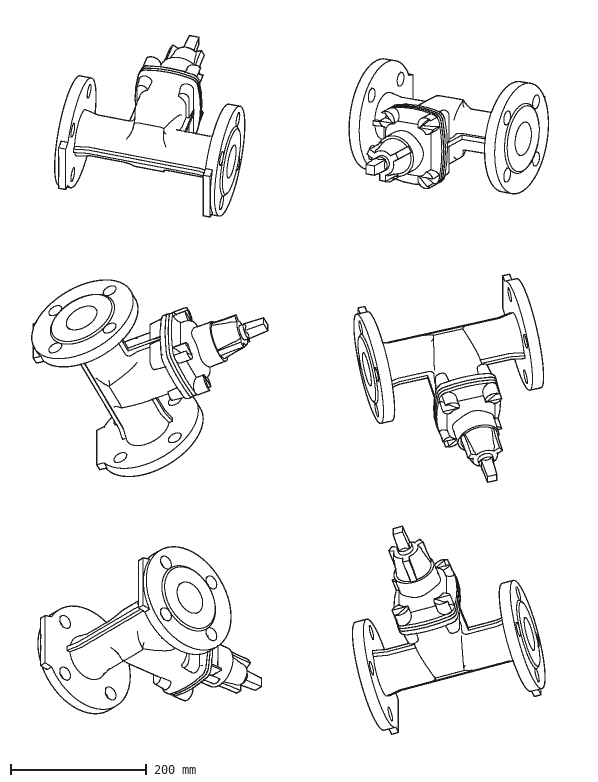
import cadquery as cq
import math


BORE_RADIUS = 25.0
PIPE_RADIUS = 30.7
PIPE_END_RADIUS = 35.0
FLARE_START_X = 85.0
FLANGE_RADIUS = 82.5
FLANGE_INNER_X = 105.0
FLANGE_OUTER_X = 122.3
FACE_X = 250.0 / 2
FACE_BASE_RADIUS = 52.0
FACE_RADIUS = 49.2
BOLT_CIRCLE_RADIUS = 62.5
BOLT_HOLE_RADIUS = 10.5

FOOT_BOTTOM_Y = -82.8
FOOT_TOP_Y = -69.5
FOOT_OUTER_X = 115.8
FOOT_BOTTOM_HALF_Z = 40.5
FOOT_TOP_HALF_Z = 43.0

RIB_THICKNESS = 6.8
RIB_HALF_WIDTH_Y = 37.0
RIB_END_HALF_WIDTH_Y = 40.8
RIB_NECK_HALF_X = 42.5

BARREL_HALF_X = 35.5
BARREL_HALF_Z = 44.0
BARREL_CORNER_RADIUS = 19.5
BARREL_TAPER_Y = 49.5
BARREL_FOOT_Y = -2.5
BARREL_FOOT_HALF_X = 22.5
BARREL_TIP_HALF_X = 25.2
BARREL_TIP_DEPTH = 0.1
BARREL_TIP_RADIUS = PIPE_RADIUS - BARREL_TIP_DEPTH
BARREL_TIP_ANGLE = math.atan2(BARREL_FOOT_Y, BARREL_HALF_Z) - math.acos(
    BARREL_TIP_RADIUS / math.hypot(BARREL_FOOT_Y, BARREL_HALF_Z)
)
BARREL_TIP_Y = BARREL_TIP_RADIUS * math.sin(BARREL_TIP_ANGLE)
BARREL_TIP_HALF_Z = BARREL_TIP_RADIUS * math.cos(BARREL_TIP_ANGLE)
BARREL_PIPE_FILLET = 6.5
BARREL_JOINT_FILLET = 3.2

JOINT_BOTTOM_Y = 90.3
JOINT_SPLIT_Y = 100.3
JOINT_LIP_Y = 105.0
JOINT_TOP_Y = 110.3
JOINT_HALF_X = 49.5
JOINT_HALF_Z = 59.0
JOINT_CORNER_X = 43.5
JOINT_CORNER_Z = 52.5
JOINT_CORNER_RADIUS = 13.0
JOINT_BOTTOM_ROUND = 5.5
JOINT_STEP = 0.3

BAR_BOTTOM_Y = 71.2
BAR_CENTRE_X = 31.7
BAR_CENTRE_Z = 41.7
BAR_TOP_RADIUS = 10.0
BAR_BOTTOM_RADIUS = 8.0

SKIRT_TOP_Y = 118.7
NECK_HALF_X = 35.5
NECK_HALF_Z = 38.2
NECK_TOP_Y = 139.0
NECK_CORNER_RADIUS = 14.5
NECK_TOP_ROUND = 14.2
BOSS_TOP_Y = 130.7
BOSS_X = 32.7
BOSS_Z = 41.7
BOSS_RADIUS = 13.0
BOSS_POCKET_INNER_X = 22.0
BOSS_POCKET_INNER_Z = 38.0
BOSS_POCKET_OUTER_Z = 51.5

TOWER_BASE_RADIUS = 31.7
TOWER_SHOULDER_RADIUS = 31.0
TOWER_SHOULDER_Y = 164.5
CONE_BASE_RADIUS = 27.0
CAP_RADIUS = 22.0
CAP_BASE_Y = 189.5
CAP_BAND_Y = 193.5
CAP_EDGE_RADIUS = 21.5
CAP_EDGE_Y = 196.0
CAP_TOP_RADIUS = 18.8
CAP_TOP_Y = 202.5
COLLAR_RADIUS = 11.3
COLLAR_EDGE_Y = 209.3
COLLAR_TOP_RADIUS = 8.5
COLLAR_TOP_Y = 212.2
SPINDLE_BASE_SIDE = 16.8
SPINDLE_TOP_SIDE = 14.5
SPINDLE_TOP_Y = 240.7

TOWER_RIB_COUNT = 3
TOWER_RIB_FIRST_ANGLE = 30
TOWER_RIB_THICKNESS = 9.7
TOWER_RIB_RADIUS = 27.8
TOWER_RIB_BASE_RADIUS = 28.8
TOWER_RIB_STEP_Y = 182.0

SELECTION_MARGIN = 0.5


def level(y):
    """Plane across the spindle at height y: local x is X, local y is Z, positive extrusion is -Y."""
    return cq.Workplane("XZ", origin=(0, y, 0))


def with_mirror_half(outline):
    """Close a half outline by adding its mirror image in the first coordinate."""
    return outline + [(-a, b) for a, b in reversed(outline)]


def four_corners(x, z):
    return [(sx * x, sz * z) for sx in (-1, 1) for sz in (-1, 1)]


def make_pipe():
    profile = with_mirror_half([
        (FACE_X, 0),
        (FACE_X, FACE_RADIUS),
        (FLANGE_OUTER_X, FACE_BASE_RADIUS),
        (FLANGE_OUTER_X, FLANGE_RADIUS),
        (FLANGE_INNER_X, FLANGE_RADIUS),
        (FLANGE_INNER_X, PIPE_END_RADIUS),
        (FLARE_START_X, PIPE_RADIUS),
    ])
    return cq.Workplane("XY").polyline(profile).close().revolve(360, (0, 0, 0), (1, 0, 0))


def make_feet():
    outline = [
        (-FOOT_TOP_HALF_Z, FOOT_TOP_Y),
        (-FOOT_BOTTOM_HALF_Z, FOOT_BOTTOM_Y),
        (FOOT_BOTTOM_HALF_Z, FOOT_BOTTOM_Y),
        (FOOT_TOP_HALF_Z, FOOT_TOP_Y),
    ]
    foot = (
        cq.Workplane("ZY", origin=(FOOT_OUTER_X, 0, 0))
        .polyline(outline).close()
        .extrude(FOOT_OUTER_X - FLANGE_INNER_X)
    )
    return foot.union(foot.mirror("YZ"))


def make_middle_rib():
    outline = with_mirror_half([
        (RIB_NECK_HALF_X, JOINT_BOTTOM_Y),
        (RIB_NECK_HALF_X, RIB_HALF_WIDTH_Y),
        (FLARE_START_X, RIB_HALF_WIDTH_Y),
        (FLANGE_INNER_X, RIB_END_HALF_WIDTH_Y),
        (FLANGE_INNER_X, -RIB_END_HALF_WIDTH_Y),
        (FLARE_START_X, -RIB_HALF_WIDTH_Y),
    ])
    return cq.Workplane("XY").polyline(outline).close().extrude(RIB_THICKNESS / 2, both=True)


def make_barrel():
    height = JOINT_BOTTOM_Y - BARREL_TIP_Y
    column = (
        level(JOINT_BOTTOM_Y)
        .rect(2 * BARREL_HALF_X, 2 * BARREL_HALF_Z)
        .extrude(height)
        .edges("|Y").fillet(BARREL_CORNER_RADIUS)
    )
    front_outline = with_mirror_half([
        (BARREL_HALF_X, JOINT_BOTTOM_Y),
        (BARREL_HALF_X, BARREL_TAPER_Y),
        (BARREL_FOOT_HALF_X, BARREL_FOOT_Y),
        (BARREL_TIP_HALF_X, BARREL_TIP_Y),
    ])
    side_outline = with_mirror_half([
        (BARREL_HALF_Z, JOINT_BOTTOM_Y),
        (BARREL_HALF_Z, BARREL_FOOT_Y),
        (BARREL_TIP_HALF_Z, BARREL_TIP_Y),
    ])
    front = cq.Workplane("XY").polyline(front_outline).close().extrude(BARREL_HALF_Z, both=True)
    side = cq.Workplane("ZY").polyline(side_outline).close().extrude(BARREL_HALF_X, both=True)
    return column.intersect(front).intersect(side)


def joint_layer(bottom_y, top_y, setback):
    """Slab of the oval joint, its four sides bowed outward and set back from the full outline."""
    x = JOINT_CORNER_X - setback
    z = JOINT_CORNER_Z - setback
    middle_x = JOINT_HALF_X - setback
    middle_z = JOINT_HALF_Z - setback
    return (
        level(top_y)
        .moveTo(-x, z)
        .threePointArc((0, middle_z), (x, z))
        .threePointArc((middle_x, 0), (x, -z))
        .threePointArc((0, -middle_z), (-x, -z))
        .threePointArc((-middle_x, 0), (-x, z))
        .close()
        .extrude(top_y - bottom_y)
        .edges("|Y").fillet(JOINT_CORNER_RADIUS)
    )


def make_body_flange():
    flange = joint_layer(JOINT_BOTTOM_Y, JOINT_SPLIT_Y, 0)
    return flange.faces("<Y").edges().fillet(JOINT_BOTTOM_ROUND)


def box_around(corner, opposite_corner):
    """Selector for edges whose centre lies in the box, which is widened a little on every side."""
    low = [min(pair) - SELECTION_MARGIN for pair in zip(corner, opposite_corner)]
    high = [max(pair) + SELECTION_MARGIN for pair in zip(corner, opposite_corner)]
    return cq.selectors.BoxSelector(low, high)


def make_body():
    body = make_barrel().union(make_body_flange())
    barrel_top = box_around(
        (-BARREL_HALF_X, JOINT_BOTTOM_Y, -BARREL_HALF_Z),
        (BARREL_HALF_X, JOINT_BOTTOM_Y, BARREL_HALF_Z),
    )
    body = body.edges(barrel_top).fillet(BARREL_JOINT_FILLET)
    body = body.union(make_pipe())
    for side in (-1, 1):
        root = box_around(
            (side * BARREL_FOOT_HALF_X, BARREL_TIP_Y, -PIPE_RADIUS),
            (side * BARREL_HALF_X, PIPE_RADIUS, PIPE_RADIUS),
        )
        body = body.edges(root).fillet(BARREL_PIPE_FILLET)
    return body


def make_bonnet_flange():
    lip = joint_layer(JOINT_SPLIT_Y, JOINT_LIP_Y, JOINT_STEP)
    return lip.union(joint_layer(JOINT_LIP_Y, JOINT_TOP_Y, 2 * JOINT_STEP))


def make_side_bars():
    height = JOINT_SPLIT_Y - BAR_BOTTOM_Y
    taper = math.degrees(math.atan((BAR_TOP_RADIUS - BAR_BOTTOM_RADIUS) / (JOINT_BOTTOM_Y - BAR_BOTTOM_Y)))
    return (
        level(BAR_BOTTOM_Y)
        .pushPoints([(-BAR_CENTRE_X, 0), (BAR_CENTRE_X, 0)])
        .slot2D(2 * (BAR_CENTRE_Z + BAR_BOTTOM_RADIUS), 2 * BAR_BOTTOM_RADIUS, 90)
        .extrude(-height, taper=-taper)
    )


def make_bosses():
    height = BOSS_TOP_Y - JOINT_TOP_Y
    bosses = level(JOINT_TOP_Y).pushPoints(four_corners(BOSS_X, BOSS_Z)).circle(BOSS_RADIUS).extrude(-height)
    open_x = BOSS_X + 2 * BOSS_RADIUS
    slant = BOSS_POCKET_OUTER_Z - BOSS_POCKET_INNER_Z
    outline = [
        (open_x, BOSS_POCKET_INNER_Z),
        (BOSS_POCKET_INNER_X, BOSS_POCKET_INNER_Z),
        (BOSS_POCKET_INNER_X + slant, BOSS_POCKET_OUTER_Z),
        (open_x, BOSS_POCKET_OUTER_Z),
    ]
    pocket = level(JOINT_TOP_Y).polyline(outline).close().extrude(-height)
    pockets = pocket.union(pocket.mirror("YZ"))
    pockets = pockets.union(pockets.mirror("XY"))
    return bosses.cut(pockets)


def neck_column(top_y):
    return (
        level(JOINT_TOP_Y)
        .rect(2 * NECK_HALF_X, 2 * NECK_HALF_Z)
        .extrude(JOINT_TOP_Y - top_y)
        .edges("|Y").fillet(NECK_CORNER_RADIUS)
    )


def make_bonnet():
    joint_outline = joint_layer(JOINT_LIP_Y, JOINT_TOP_Y, 2 * JOINT_STEP).faces(">Y").wires().val()
    neck_outline = neck_column(SKIRT_TOP_Y).faces(">Y").wires().val()
    skirt = cq.Workplane(cq.Solid.makeLoft([joint_outline, neck_outline], True))
    neck = neck_column(NECK_TOP_Y).faces(">Y").edges().fillet(NECK_TOP_ROUND)
    return skirt.union(neck).union(make_bosses())


def make_tower():
    profile = [
        (0, JOINT_TOP_Y),
        (TOWER_BASE_RADIUS, JOINT_TOP_Y),
        (TOWER_SHOULDER_RADIUS, TOWER_SHOULDER_Y),
        (CONE_BASE_RADIUS, TOWER_SHOULDER_Y),
        (CAP_RADIUS, CAP_BASE_Y),
        (CAP_RADIUS, CAP_BAND_Y),
        (CAP_EDGE_RADIUS, CAP_EDGE_Y),
        (CAP_TOP_RADIUS, CAP_TOP_Y),
        (COLLAR_RADIUS, CAP_TOP_Y),
        (COLLAR_RADIUS, COLLAR_EDGE_Y),
        (COLLAR_TOP_RADIUS, COLLAR_TOP_Y),
        (0, COLLAR_TOP_Y),
    ]
    return cq.Workplane("XY").polyline(profile).close().revolve(360, (0, 0, 0), (0, 1, 0))


def make_tower_ribs():
    outline = [
        (0, TOWER_SHOULDER_Y),
        (TOWER_RIB_BASE_RADIUS, TOWER_SHOULDER_Y),
        (TOWER_RIB_RADIUS, TOWER_RIB_STEP_Y),
        (TOWER_RIB_RADIUS, CAP_TOP_Y),
        (0, CAP_TOP_Y),
    ]
    rib = cq.Workplane("XY").polyline(outline).close().extrude(TOWER_RIB_THICKNESS / 2, both=True)
    ribs = cq.Workplane("XY")
    for index in range(TOWER_RIB_COUNT):
        angle = TOWER_RIB_FIRST_ANGLE + index * 360 / TOWER_RIB_COUNT
        ribs = ribs.union(rib.rotate((0, 0, 0), (0, 1, 0), -angle))
    return ribs


def make_spindle():
    return (
        level(COLLAR_EDGE_Y)
        .rect(SPINDLE_BASE_SIDE, SPINDLE_BASE_SIDE)
        .workplane(offset=COLLAR_EDGE_Y - SPINDLE_TOP_Y)
        .rect(SPINDLE_TOP_SIDE, SPINDLE_TOP_SIDE)
        .loft()
    )


def make_bore():
    return cq.Workplane("YZ").circle(BORE_RADIUS).extrude(FACE_X, both=True)


def make_bolt_holes():
    offset = BOLT_CIRCLE_RADIUS / math.sqrt(2)
    holes = (
        cq.Workplane("YZ", origin=(FLANGE_INNER_X, 0, 0))
        .pushPoints(four_corners(offset, offset))
        .circle(BOLT_HOLE_RADIUS)
        .extrude(FACE_X - FLANGE_INNER_X)
    )
    return holes.union(holes.mirror("YZ"))


result = (
    make_body()
    .union(make_feet())
    .union(make_middle_rib())
    .union(make_side_bars())
    .union(make_bonnet_flange())
    .union(make_bonnet())
    .union(make_tower())
    .union(make_tower_ribs())
    .union(make_spindle())
    .cut(make_bore())
    .cut(make_bolt_holes())
)